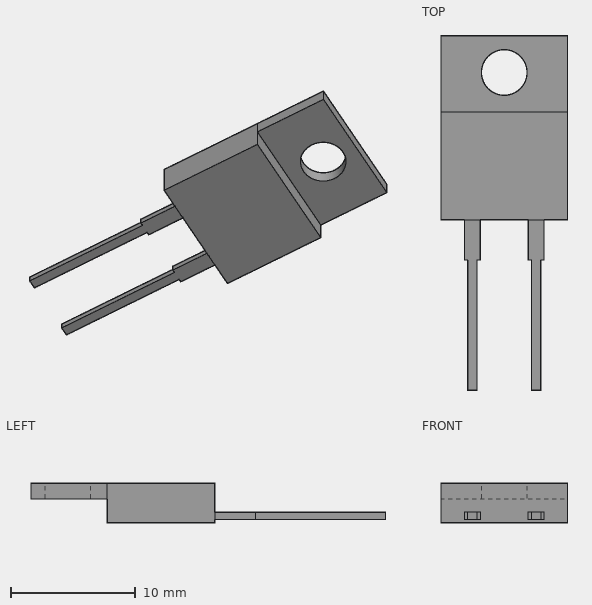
import cadquery as cq

width = 10.15
housing_length = 8.65
housing_height = 3.2

tab_length = 6.12
tab_thickness = 1.28
hole_diameter = 3.65
hole_to_tab_end = 2.95

total_length = 28.45
lead_pitch = 5.12
lead_thickness = 0.6
lead_bottom = 0.25
lead_root_width = 1.28
lead_root_length = 3.25
lead_tip_width = 0.77
lead_length = total_length - tab_length - housing_length


def make_housing():
    """Block centred on X, with its front face at Y = 0 and its base at Z = 0."""
    return cq.Workplane("XY").box(width, housing_length, housing_height, centered=(True, False, False))


def make_tab():
    """Plate behind the housing with a round mounting hole through it."""
    plate = (
        cq.Workplane("XY")
        .box(width, tab_length, tab_thickness, centered=(True, False, False))
        .translate((0, housing_length, housing_height - tab_thickness))
    )
    hole = (
        cq.Workplane("XY")
        .center(0, housing_length + tab_length - hole_to_tab_end)
        .circle(hole_diameter / 2)
        .extrude(housing_height)
    )
    return plate.cut(hole)


def make_lead(x):
    """Flat lead centred at x, wide next to the housing and narrow out to its tip."""
    half_root = lead_root_width / 2
    half_tip = lead_tip_width / 2
    outline = [
        (x - half_root, 0),
        (x - half_root, -lead_root_length),
        (x - half_tip, -lead_root_length),
        (x - half_tip, -lead_length),
        (x + half_tip, -lead_length),
        (x + half_tip, -lead_root_length),
        (x + half_root, -lead_root_length),
        (x + half_root, 0),
    ]
    return cq.Workplane("XY").workplane(offset=lead_bottom).polyline(outline).close().extrude(lead_thickness)


housing = make_housing()
tab = make_tab()
leads = [make_lead(side * lead_pitch / 2) for side in (-1, 1)]

result = cq.Compound.makeCompound([housing.val(), tab.val(), *[lead.val() for lead in leads]])